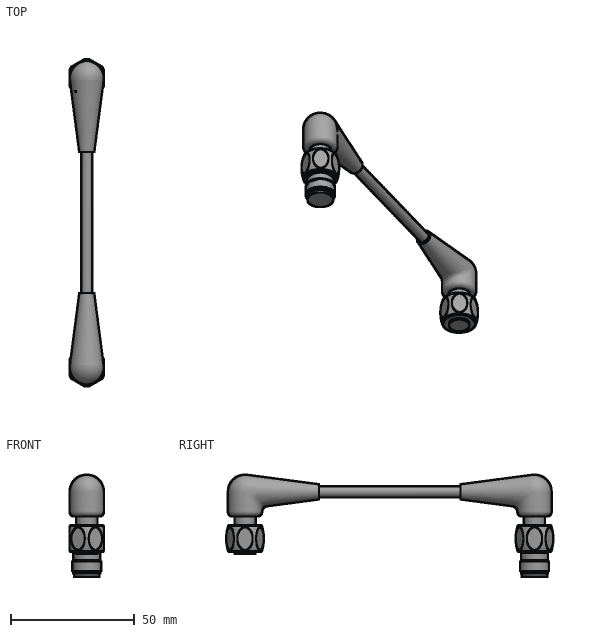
import math

import cadquery as cq

CONNECTOR_SPACING = 117.0

ELBOW_RADIUS = 7.0
ELBOW_DEPTH = 10.0
ELBOW_RIM_FILLET = 2.0
ELBOW_CROTCH_FILLET = 2.0

SLEEVE_REACH = 30.0
SLEEVE_END_RADIUS = 3.1
CABLE_DIAMETER = 4.6

NECK_DIAMETER = 8.7

NUT_ACROSS_FLATS = 14.0
NUT_BARREL_DIAMETER = 15.33
NUT_END_DIAMETER = 13.7
NUT_TOP = -13.4
NUT_HEIGHT = 11.0
NUT_EDGE_CHAMFER = 0.45
NUT_BOTTOM = NUT_TOP - NUT_HEIGHT

STUB_DIAMETER = 8.3
STUB_LENGTH = 0.75

COLLAR_DIAMETER = 10.8
SHANK_DIAMETER = 10.95
RING_DIAMETER = 11.9
TIP_DIAMETER = 10.5
BARREL_STEPS = [
    (COLLAR_DIAMETER, -24.75),
    (SHANK_DIAMETER, -27.5),
    (COLLAR_DIAMETER, -28.25),
    (RING_DIAMETER, -32.0),
    (COLLAR_DIAMETER, -32.35),
    (SHANK_DIAMETER, -33.1),
    (TIP_DIAMETER, -34.36),
]


def disc(diameter, top, bottom):
    """Vertical cylinder on the Z axis between two levels."""
    return cq.Workplane("XY").workplane(offset=bottom).circle(diameter / 2).extrude(top - bottom)


def ball_point(angle):
    """Point of the ball's outline at an angle from the sleeve axis."""
    return ELBOW_RADIUS * math.cos(angle), ELBOW_RADIUS * math.sin(angle)


def make_elbow():
    """Ball-cornered housing down -Z with a tapered sleeve along +Y."""
    end_distance = math.hypot(SLEEVE_REACH, SLEEVE_END_RADIUS)
    end_angle = math.atan2(SLEEVE_END_RADIUS, SLEEVE_REACH)
    tangent_angle = end_angle + math.acos(ELBOW_RADIUS / end_distance)
    arc_middle_angle = (math.pi + tangent_angle) / 2
    sleeve = (
        cq.Workplane("YZ")
        .moveTo(-ELBOW_RADIUS, 0)
        .threePointArc(ball_point(arc_middle_angle), ball_point(tangent_angle))
        .lineTo(SLEEVE_REACH, SLEEVE_END_RADIUS)
        .lineTo(SLEEVE_REACH, 0)
        .close()
        .revolve(360, (0, 0, 0), (1, 0, 0))
    )
    housing = disc(2 * ELBOW_RADIUS, 0, -ELBOW_DEPTH).faces("<Z").edges().fillet(ELBOW_RIM_FILLET)
    elbow = sleeve.union(housing)
    joint = elbow.edges("%BSPLINE")
    return joint.fillet(ELBOW_CROTCH_FILLET)


def make_nut():
    """Hexagon with flats facing +X and -X, trimmed by a barrel surface."""
    middle = (NUT_TOP + NUT_BOTTOM) / 2
    end_radius = NUT_END_DIAMETER / 2
    hexagon = (
        cq.Workplane("XY")
        .workplane(offset=NUT_BOTTOM)
        .polygon(6, NUT_ACROSS_FLATS, circumscribed=True)
        .extrude(NUT_HEIGHT)
    )
    barrel = (
        cq.Workplane("XZ")
        .moveTo(0, NUT_BOTTOM)
        .lineTo(end_radius - NUT_EDGE_CHAMFER, NUT_BOTTOM)
        .lineTo(end_radius, NUT_BOTTOM + NUT_EDGE_CHAMFER)
        .threePointArc((NUT_BARREL_DIAMETER / 2, middle), (end_radius, NUT_TOP - NUT_EDGE_CHAMFER))
        .lineTo(end_radius - NUT_EDGE_CHAMFER, NUT_TOP)
        .lineTo(0, NUT_TOP)
        .close()
        .revolve(360, (0, 0, 0), (0, 1, 0))
    )
    return hexagon.intersect(barrel)


def make_arm():
    """Elbow, neck and nut with the connector axis on Z and the sleeve towards +Y."""
    neck = disc(NECK_DIAMETER, -ELBOW_DEPTH, NUT_TOP)
    return make_elbow().union(neck).union(make_nut())


def make_stub():
    """Short end of the inner sleeve below the nut."""
    return disc(STUB_DIAMETER, NUT_BOTTOM, NUT_BOTTOM - STUB_LENGTH)


def make_barrel():
    """Stack of coaxial steps hanging below the nut."""
    barrel = cq.Workplane("XY")
    top = NUT_BOTTOM
    for diameter, bottom in BARREL_STEPS:
        barrel = barrel.union(disc(diameter, top, bottom))
        top = bottom
    return barrel


def make_cable():
    """Straight cable joining the two sleeve ends."""
    half_length = CONNECTOR_SPACING / 2 - SLEEVE_REACH
    return cq.Workplane("XZ").circle(CABLE_DIAMETER / 2).extrude(half_length, both=True)


near_arm = make_arm().union(make_stub()).translate((0, -CONNECTOR_SPACING / 2, 0))
far_arm = (
    make_arm()
    .union(make_barrel())
    .rotate((0, 0, 0), (0, 0, 1), 180)
    .translate((0, CONNECTOR_SPACING / 2, 0))
)
result = near_arm.union(make_cable()).union(far_arm)